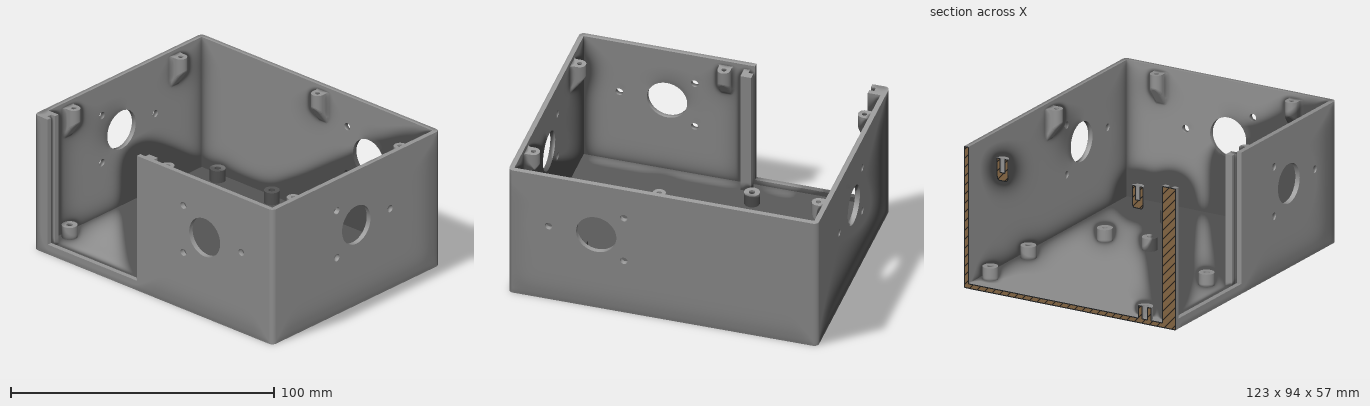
import cadquery as cq

LENGTH = 123.0
WIDTH = 94.0
HEIGHT = 57.0
WALL = 2.0
CORNER_RADIUS = WALL
LID_SEAT = HEIGHT - WALL

OPENING_LEFT = 7.0
OPENING_RIGHT = 53.0
SILL_HEIGHT = 4.0
SLOT_DEPTH = 2.0
SLOT_BACK = 4.0
LEFT_RAIL_BACK = 6.0
RIGHT_RAIL_BACK = 7.0
RIGHT_RAIL_END = 57.3

SCREW_PAIR_OFFSET = 11.0
SCREW_PAIR_HALF_SPACING = 10.0
SCREW_SINGLE_OFFSET = 19.0
SENSOR_SCREWS = [
    (-SCREW_PAIR_OFFSET, SCREW_PAIR_HALF_SPACING),
    (-SCREW_PAIR_OFFSET, -SCREW_PAIR_HALF_SPACING),
    (SCREW_SINGLE_OFFSET, 0),
]

PORT_DIAMETER = 16.0
PORT_SCREW_DIAMETER = 3.0
PORT_HEIGHT = 34.0
PORT_X = 88.0
PORT_Y = WIDTH / 2

STANDOFF_DIAMETER = 6.0
STANDOFF_HEIGHT = 5.0
BOARD_PILOT = 2.5
BOARD_STANDOFFS = [(5.5, 13.9), (50.5, 13.9), (14.0, 87.8), (42.0, 87.8)]
SENSOR_PILOT = 2.0
SENSOR_X = 84.9
SENSOR_Y = 63.2

LUG_DIAMETER = 5.0
LUG_REACH = 3.0
LUG_PILOT = 2.0
LUG_TIP_HEIGHT = 5.5
LUG_DEPTH = 13.0
LUG_EDGE_RADIUS = 1.1
LUG_ROOT_RADIUS = 1.0
LUG_X = 64.5
LUG_Y_OFFSET = 30.0
SELECT_MARGIN = 0.1


def block(x_min, x_max, y_min, y_max, z_min, z_max):
    size = (x_max - x_min, y_max - y_min, z_max - z_min)
    return cq.Workplane("XY").box(*size, centered=False).translate((x_min, y_min, z_min))


def make_shell():
    outer = block(0, LENGTH, 0, WIDTH, 0, HEIGHT).edges("|Z").fillet(CORNER_RADIUS)
    return outer.cut(block(WALL, LENGTH - WALL, WALL, WIDTH - WALL, WALL, HEIGHT))


def add_door_frame(body):
    left_rail = block(WALL, OPENING_LEFT, WALL, LEFT_RAIL_BACK, WALL, HEIGHT)
    right_rail = block(OPENING_RIGHT, RIGHT_RAIL_END, WALL, RIGHT_RAIL_BACK, WALL, LID_SEAT)
    opening = block(OPENING_LEFT, OPENING_RIGHT, 0, WALL, SILL_HEIGHT, HEIGHT)
    slot = block(OPENING_LEFT - SLOT_DEPTH, OPENING_RIGHT + SLOT_DEPTH, WALL, SLOT_BACK, WALL, HEIGHT)
    return body.union(left_rail).union(right_rail).cut(opening).cut(slot)


def port_cutter(plane, center, depth):
    """Port pattern running through two opposite walls; center is along the wall."""
    port = cq.Workplane(plane).center(center, PORT_HEIGHT)
    big_hole = port.circle(PORT_DIAMETER / 2).extrude(depth)
    screws = port.pushPoints(SENSOR_SCREWS).circle(PORT_SCREW_DIAMETER / 2).extrude(depth)
    return big_hole.union(screws)


def make_standoffs(points, pilot):
    floor = cq.Workplane("XY", origin=(0, 0, WALL)).pushPoints(points)
    return floor.circle(STANDOFF_DIAMETER / 2).circle(pilot / 2).extrude(STANDOFF_HEIGHT)


def make_lug():
    """Lug on a wall face at X = 0, reaching toward +X, its top at Z = 0.

    A backing plate behind X = 0 merges into the wall and carries the root fillet.
    """
    radius = LUG_DIAMETER / 2
    tip = LUG_REACH + radius
    prism = (
        cq.Workplane("XY")
        .moveTo(0, -radius)
        .lineTo(LUG_REACH, -radius)
        .threePointArc((tip, 0), (LUG_REACH, radius))
        .lineTo(0, radius)
        .close()
        .extrude(-LUG_DEPTH)
    )
    slope = (
        cq.Workplane("XZ")
        .polyline([(0, -LUG_DEPTH), (tip, -LUG_TIP_HEIGHT), (tip, -LUG_DEPTH)])
        .close()
        .extrude(radius, both=True)
    )
    lug = prism.cut(slope).faces("<Z").edges("not(<X)").fillet(LUG_EDGE_RADIUS)

    plate_half = radius + 2 * LUG_ROOT_RADIUS
    plate_bottom = -LUG_DEPTH - 2 * LUG_ROOT_RADIUS
    lug = lug.union(block(-WALL / 2, 0, -plate_half, plate_half, plate_bottom, 0))
    root_box = cq.selectors.BoxSelector(
        (-SELECT_MARGIN, -radius - SELECT_MARGIN, -LUG_DEPTH - SELECT_MARGIN),
        (SELECT_MARGIN, radius + SELECT_MARGIN, -SELECT_MARGIN),
    )
    lug = lug.edges(root_box).fillet(LUG_ROOT_RADIUS)

    pilot = cq.Workplane("XY").center(LUG_REACH, 0).circle(LUG_PILOT / 2).extrude(-LUG_TIP_HEIGHT)
    return lug.cut(pilot)


def place_lug(x, y, turn):
    return make_lug().rotate((0, 0, 0), (0, 0, 1), turn).translate((x, y, LID_SEAT))


result = add_door_frame(make_shell())
result = result.cut(port_cutter("XZ", PORT_X, -WIDTH))
result = result.cut(port_cutter("YZ", PORT_Y, LENGTH))

sensor_standoffs = [(SENSOR_X + dx, SENSOR_Y + dy) for dx, dy in SENSOR_SCREWS]
result = result.union(make_standoffs(BOARD_STANDOFFS, BOARD_PILOT))
result = result.union(make_standoffs(sensor_standoffs, SENSOR_PILOT))

for side in (-1, 1):
    lug_y = WIDTH / 2 + side * LUG_Y_OFFSET
    result = result.union(place_lug(WALL, lug_y, 0))
    result = result.union(place_lug(LENGTH - WALL, lug_y, 180))
result = result.union(place_lug(LUG_X, WALL, 90))
result = result.union(place_lug(LUG_X, WIDTH - WALL, -90))